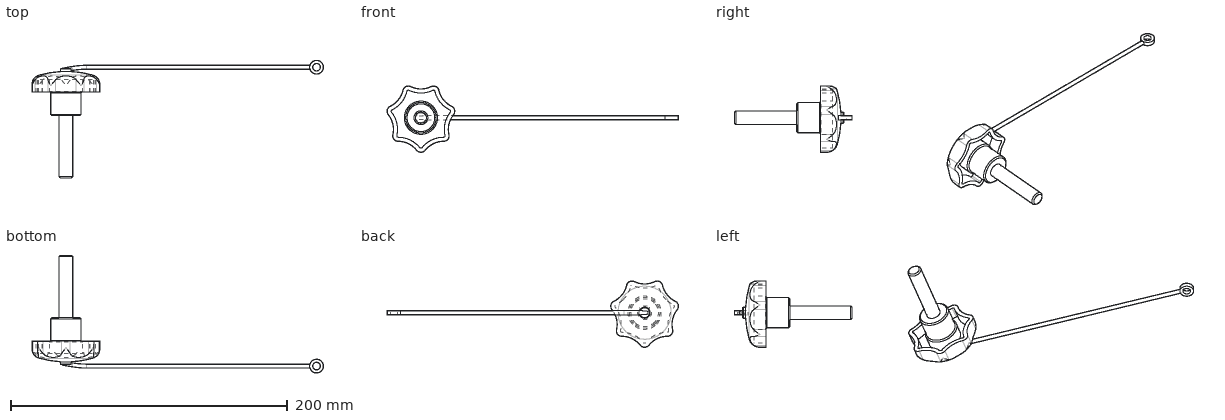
import cadquery as cq
import math


lobe_count = 7
head_radius = 25.0
lobe_radius = 4.0
scallop_radius = 17.0
wall = 3.0

rim_y = 17.0
dome_apex_y = 32.05
pocket_floor_y = 26.0

dome_radius = 70.0
dome_edge_radius = 8.0

hub_radius = 11.0
hub_root_radius = 12.0
hub_root_chamfer_y = 16.5
hub_chamfer = 1.0
stud_radius = 5.0
stud_length = 45.0
stud_chamfer = 1.0

anchor_radius = 4.0
anchor_top_y = 34.0
anchor_chamfer = 0.4

cable_radius = 1.5
cable_y = 35.0
cable_straight_x = 15.0
cable_bend_radius = 60.0
cable_bend_angle = math.radians(10.0)
cable_tail_length = 7.0
eye_radius = 5.0
eye_hole_radius = 5.3 / 2
eye_thickness = 3.2
eye_x = 180.98
cable_end_x = eye_x - (eye_radius + eye_hole_radius) / 2

lobe_pitch = 2 * math.pi / lobe_count
lobe_center_distance = head_radius - lobe_radius


def polar(radius, angle):
    """Point in the X-Z plane at a radius and angle from the knob axis."""
    return (radius * math.cos(angle), radius * math.sin(angle))


def axial_plane(y):
    """Plane across the knob axis at height y, facing +Y, with local axes along X and -Z."""
    return cq.Plane(origin=(0, y, 0), xDir=(1, 0, 0), normal=(0, 1, 0))


def star_outline(inset, y):
    """Star outline on the plane at height y, set inwards by an even inset."""
    tip_radius = lobe_radius - inset
    hollow_radius = scallop_radius + inset
    half_pitch = lobe_pitch / 2
    reach = lobe_radius + scallop_radius
    half_gap = lobe_center_distance * math.sin(half_pitch)
    scallop_center_distance = (lobe_center_distance * math.cos(half_pitch)
                               + math.sqrt(reach ** 2 - half_gap ** 2))
    tangent_share = tip_radius / reach

    def tangent_point(lobe_angle, scallop_angle):
        lobe = polar(lobe_center_distance, lobe_angle)
        scallop = polar(scallop_center_distance, scallop_angle)
        return tuple(a + (b - a) * tangent_share for a, b in zip(lobe, scallop))

    first_angle = math.pi / 2
    outline = cq.Workplane(axial_plane(y))
    outline = outline.moveTo(*tangent_point(first_angle, first_angle - half_pitch))
    for index in range(lobe_count):
        lobe_angle = first_angle + index * lobe_pitch
        scallop_angle = lobe_angle + half_pitch
        next_lobe_angle = lobe_angle + lobe_pitch
        outline = outline.threePointArc(polar(lobe_center_distance + tip_radius, lobe_angle),
                                        tangent_point(lobe_angle, scallop_angle))
        outline = outline.threePointArc(polar(scallop_center_distance - hollow_radius, scallop_angle),
                                        tangent_point(next_lobe_angle, scallop_angle))
    return outline.close()


def dome():
    """Turned envelope of the head: shallow crown blended tangentially into a straight side."""
    edge_center_r = head_radius - dome_edge_radius
    crown_center_y = dome_apex_y - dome_radius
    blend_angle = math.asin(edge_center_r / (dome_radius - dome_edge_radius))
    edge_center_y = crown_center_y + (dome_radius - dome_edge_radius) * math.cos(blend_angle)

    def on_crown(angle):
        return (dome_radius * math.sin(angle), crown_center_y + dome_radius * math.cos(angle))

    edge_mid_angle = (blend_angle + math.pi / 2) / 2
    edge_mid = (edge_center_r + dome_edge_radius * math.sin(edge_mid_angle),
                edge_center_y + dome_edge_radius * math.cos(edge_mid_angle))
    profile = (cq.Workplane("XY")
               .moveTo(0, rim_y)
               .lineTo(head_radius, rim_y)
               .lineTo(head_radius, edge_center_y)
               .threePointArc(edge_mid, on_crown(blend_angle))
               .threePointArc(on_crown(blend_angle / 2), (0, dome_apex_y))
               .close())
    return profile.revolve(360, (0, 0, 0), (0, 1, 0))


def head():
    """Star-shaped domed head, hollowed from the rim side."""
    star = star_outline(0, rim_y).extrude(dome_apex_y - rim_y)
    pocket = star_outline(wall, rim_y).extrude(pocket_floor_y - rim_y)
    return star.intersect(dome()).cut(pocket)


def hub_and_stud():
    """Turned hub and stud, running from the stud tip up into the pocket floor."""
    root_cone_top_y = hub_root_chamfer_y + hub_root_radius - hub_radius
    profile = (cq.Workplane("XY")
               .moveTo(0, -stud_length)
               .lineTo(stud_radius - stud_chamfer, -stud_length)
               .lineTo(stud_radius, stud_chamfer - stud_length)
               .lineTo(stud_radius, 0)
               .lineTo(hub_radius - hub_chamfer, 0)
               .lineTo(hub_radius, hub_chamfer)
               .lineTo(hub_radius, hub_root_chamfer_y)
               .lineTo(hub_root_radius, root_cone_top_y)
               .lineTo(hub_root_radius, pocket_floor_y)
               .lineTo(0, pocket_floor_y)
               .close())
    return profile.revolve(360, (0, 0, 0), (0, 1, 0))


def anchor():
    """Round post on the dome that holds the cable end."""
    post = cq.Workplane(axial_plane(pocket_floor_y)).circle(anchor_radius)
    post = post.extrude(anchor_top_y - pocket_floor_y)
    return post.faces(">Y").chamfer(anchor_chamfer)


def cable():
    """Round cable, straight from the eye and then bent down into the anchor."""
    def on_bend(angle):
        return (cable_straight_x - cable_bend_radius * math.sin(angle),
                cable_y - cable_bend_radius * (1 - math.cos(angle)))

    bend_end = on_bend(cable_bend_angle)
    tail_end = (bend_end[0] - cable_tail_length * math.cos(cable_bend_angle),
                bend_end[1] - cable_tail_length * math.sin(cable_bend_angle))
    path = (cq.Workplane("XY")
            .moveTo(cable_end_x, cable_y)
            .lineTo(cable_straight_x, cable_y)
            .threePointArc(on_bend(cable_bend_angle / 2), bend_end)
            .lineTo(*tail_end))
    section_plane = cq.Plane(origin=(cable_end_x, cable_y, 0), xDir=(0, 1, 0), normal=(-1, 0, 0))
    return cq.Workplane(section_plane).circle(cable_radius).sweep(path)


def eye():
    """Flat ring at the free end of the cable."""
    ring = cq.Workplane("XY", origin=(eye_x, cable_y, -eye_thickness / 2))
    return ring.circle(eye_radius).circle(eye_hole_radius).extrude(eye_thickness)


result = head().union(hub_and_stud()).union(anchor()).union(cable()).union(eye())